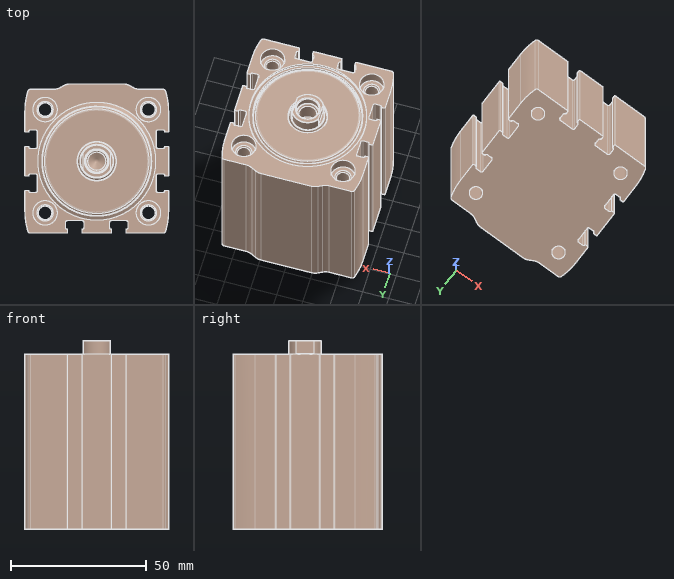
import cadquery as cq
import math

half_width = 26.5
housing_height = 64.5
side_arc_radius = 25.0
side_flat_half = 18.4
corner_radius = 1.0

pad_height = 2.0
pad_top_half = 10.9
pad_slope_angle = 28.0
pad_blend_radius = 5.0

slot_offset = 8.1
slot_mouth_width = 5.2
slot_inner_width = 6.7
slot_depth = 4.6
slot_lip = 1.5
slot_inner_radius = 0.6
slot_mouth_radius = 0.3

mount_offset = 19.0
mount_diameter = 4.92
mount_mouth_diameter = 6.0
counterbore_diameter = 9.0
counterbore_depth = 5.0

cap_drop = 0.3
cap_z = housing_height - cap_drop
cap_diameter = 40.0
cap_face_diameter = 37.6
cap_bevel_diameter = 38.5
cap_rim_angle = 12.0
cap_bevel_angle = 40.0
ring_groove_diameter = 43.4
ring_inner_diameter = 40.5
ring_bevel_angle = 30.0
ring_gap_depth = 1.5

gland_diameter = 14.5
wiper_base_diameter = 14.1
wiper_lip_diameter = 12.5
wiper_angle = 60.0

rod_diameter = 12.0
rod_top = 69.5
rod_length = 30.0
rod_edge_chamfer = 0.1
flat_width = 10.0
flat_bottom = housing_height + 0.2
flat_runout_angle = 30.0
rod_mouth_diameter = 8.4
rod_mouth_chamfer = 0.35
rod_mouth_depth = 3.5
thread_chamfer_diameter = 8.0
thread_diameter = 6.65
thread_depth = 12.0
drill_tip_angle = 118.0


class VerticalEdgesAt(cq.Selector):
    """Selects the vertical edges that stand on the given XY points."""

    def __init__(self, points):
        self.points = points

    def filter(self, edges):
        tolerance = 1e-4
        return [
            edge for edge in edges
            if edge.geomType() == "LINE" and abs(edge.tangentAt(0).z) > 1 - tolerance
            and any(math.dist((edge.Center().x, edge.Center().y), p) < tolerance
                    for p in self.points)
        ]


def build_profile_solid():
    """Extruded housing block with curved flanks and the raised pad."""
    arc_rise = half_width - side_flat_half
    arc_centre_x = half_width - side_arc_radius
    corner_x = arc_centre_x + math.sqrt(side_arc_radius**2 - arc_rise**2)
    mid_x = arc_centre_x + math.sqrt(side_arc_radius**2 - (arc_rise / 2) ** 2)
    mid_y = side_flat_half + arc_rise / 2
    pad_base_half = pad_top_half + pad_height / math.tan(math.radians(pad_slope_angle))
    pad_top = half_width + pad_height
    block = (
        cq.Workplane("XY")
        .moveTo(-corner_x, -half_width)
        .lineTo(corner_x, -half_width)
        .threePointArc((mid_x, -mid_y), (half_width, -side_flat_half))
        .lineTo(half_width, side_flat_half)
        .threePointArc((mid_x, mid_y), (corner_x, half_width))
        .lineTo(pad_base_half, half_width)
        .lineTo(pad_top_half, pad_top)
        .lineTo(-pad_top_half, pad_top)
        .lineTo(-pad_base_half, half_width)
        .lineTo(-corner_x, half_width)
        .threePointArc((-mid_x, mid_y), (-half_width, side_flat_half))
        .lineTo(-half_width, -side_flat_half)
        .threePointArc((-mid_x, -mid_y), (-corner_x, -half_width))
        .close()
        .extrude(housing_height)
    )
    pad_corners = [(side * pad_base_half, half_width) for side in (-1, 1)]
    pad_corners += [(side * pad_top_half, pad_top) for side in (-1, 1)]
    block_corners = [(sx * corner_x, sy * half_width) for sx in (-1, 1) for sy in (-1, 1)]
    block = block.edges(VerticalEdgesAt(pad_corners)).fillet(pad_blend_radius)
    return block.edges(VerticalEdgesAt(block_corners)).fillet(corner_radius)


def slot_cutter():
    """One T-slot opening on the -Y side, centred on X = 0."""
    inner = (
        cq.Workplane("XY")
        .center(0, -half_width + (slot_lip + slot_depth) / 2)
        .rect(slot_inner_width, slot_depth - slot_lip)
        .extrude(housing_height)
        .edges("|Z")
        .fillet(slot_inner_radius)
    )
    mouth = (
        cq.Workplane("XY")
        .center(0, -half_width + slot_depth / 2)
        .rect(slot_mouth_width, slot_depth)
        .extrude(housing_height)
    )
    return inner.union(mouth)


def cut_slots(block):
    """Cuts two T-slots in each of the -X, -Y and +X sides and rounds their mouths."""
    for side_angle in (-90, 0, 90):
        for offset in (-slot_offset, slot_offset):
            cutter = slot_cutter().translate((offset, 0, 0))
            block = block.cut(cutter.rotate((0, 0, 0), (0, 0, 1), side_angle))
    mouth_places = [
        slot_side * slot_offset + lip_side * slot_mouth_width / 2
        for slot_side in (-1, 1)
        for lip_side in (-1, 1)
    ]
    mouth_edges = [(place, -half_width) for place in mouth_places]
    mouth_edges += [(side * half_width, place) for side in (-1, 1) for place in mouth_places]
    return block.edges(VerticalEdgesAt(mouth_edges)).fillet(slot_mouth_radius)


def revolve_profile(points):
    """Solid of revolution about Z from (radius, z) points."""
    return cq.Workplane("XZ").polyline(points).close().revolve(360, (0, 0), (0, 1))


def mount_hole_cutter():
    """Through hole with a chamfered mouth below a counterbore."""
    seat = housing_height - counterbore_depth
    chamfer = (mount_mouth_diameter - mount_diameter) / 2
    return revolve_profile([
        (0, 0),
        (mount_diameter / 2, 0),
        (mount_diameter / 2, seat - chamfer),
        (mount_mouth_diameter / 2, seat),
        (counterbore_diameter / 2, seat),
        (counterbore_diameter / 2, housing_height),
        (0, housing_height),
    ])


def retaining_ring_cutter():
    """Everything cleared above the cap face, the bevelled cap edge and the bevelled ring."""
    cap_radius = cap_diameter / 2
    ring_inner = ring_inner_diameter / 2
    ring_outer = ring_groove_diameter / 2
    bevel_drop = (ring_outer - ring_inner) * math.tan(math.radians(ring_bevel_angle))
    face_radius = cap_face_diameter / 2
    bevel_radius = cap_bevel_diameter / 2
    bevel_z = cap_z - (bevel_radius - face_radius) * math.tan(math.radians(cap_rim_angle))
    edge_z = bevel_z - (cap_radius - bevel_radius) * math.tan(math.radians(cap_bevel_angle))
    gap_floor = cap_z - ring_gap_depth
    return revolve_profile([
        (0, cap_z),
        (face_radius, cap_z),
        (bevel_radius, bevel_z),
        (cap_radius, edge_z),
        (cap_radius, gap_floor),
        (ring_inner, gap_floor),
        (ring_inner, cap_z),
        (ring_outer, cap_z - bevel_drop),
        (ring_outer, housing_height),
        (0, housing_height),
    ])


def rod_bore_cutter():
    """Blind rod bore and the annular recess around the wiper lip."""
    rod_bottom = rod_top - rod_length
    wiper_width = (wiper_base_diameter - wiper_lip_diameter) / 2
    wiper_base_z = cap_z - wiper_width * math.tan(math.radians(wiper_angle))
    return revolve_profile([
        (0, rod_bottom),
        (rod_diameter / 2, rod_bottom),
        (rod_diameter / 2, cap_z),
        (wiper_lip_diameter / 2, cap_z),
        (wiper_base_diameter / 2, wiper_base_z),
        (gland_diameter / 2, wiper_base_z),
        (gland_diameter / 2, cap_z),
        (0, cap_z),
    ])


def build_housing():
    block = cut_slots(build_profile_solid())
    for x in (-mount_offset, mount_offset):
        for y in (-mount_offset, mount_offset):
            block = block.cut(mount_hole_cutter().translate((x, y, 0)))
    return block.cut(retaining_ring_cutter()).cut(rod_bore_cutter())


def flat_cutter():
    """Removes the +X side of the rod down to the flat, ending in a sloped run-out."""
    flat_x = flat_width / 2
    clear_x = rod_diameter
    runout_drop = (clear_x - flat_x) * math.tan(math.radians(flat_runout_angle))
    return (
        cq.Workplane("XZ")
        .polyline([
            (flat_x, rod_top),
            (flat_x, flat_bottom),
            (clear_x, flat_bottom - runout_drop),
            (clear_x, rod_top),
        ])
        .close()
        .extrude(rod_diameter, both=True)
    )


def rod_hole_cutter():
    """Threaded hole with a wider mouth, a thread chamfer and a drill-point bottom."""
    tip = thread_diameter / 2 / math.tan(math.radians(drill_tip_angle / 2))
    thread_chamfer = (thread_chamfer_diameter - thread_diameter) / 2
    mouth_floor = rod_top - rod_mouth_depth
    mouth_radius = rod_mouth_diameter / 2
    return revolve_profile([
        (0, rod_top - thread_depth - tip),
        (thread_diameter / 2, rod_top - thread_depth),
        (thread_diameter / 2, mouth_floor - thread_chamfer),
        (thread_chamfer_diameter / 2, mouth_floor),
        (mouth_radius, mouth_floor),
        (mouth_radius, rod_top - rod_mouth_chamfer),
        (mouth_radius + rod_mouth_chamfer, rod_top),
        (0, rod_top),
    ])


def build_rod():
    rod = (
        cq.Workplane("XY")
        .workplane(offset=rod_top - rod_length)
        .circle(rod_diameter / 2)
        .extrude(rod_length)
        .faces(">Z")
        .chamfer(rod_edge_chamfer)
    )
    for angle in (0, 180):
        rod = rod.cut(flat_cutter().rotate((0, 0, 0), (0, 0, 1), angle))
    return rod.cut(rod_hole_cutter())


housing = build_housing()
rod = build_rod()
result = cq.Compound.makeCompound([housing.val(), rod.val()])